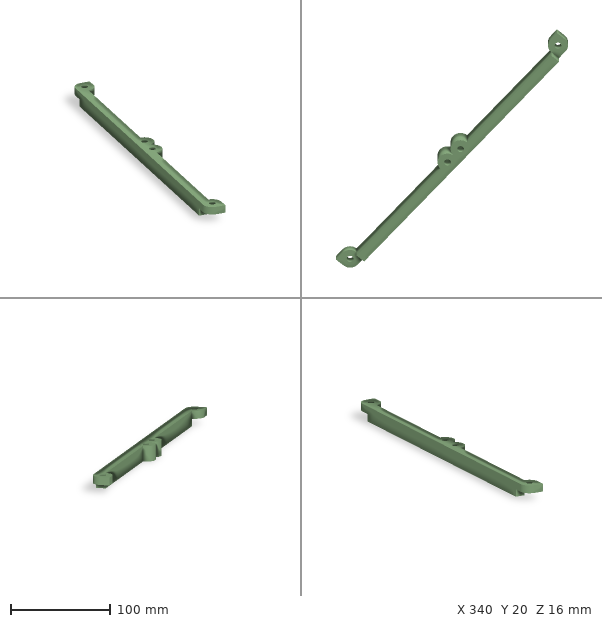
import cadquery as cq

length = 340.0
depth = 20.0
height = 16.0
tab_thickness = 8.0
hole_diameter = 6.8

lug_radius = depth / 2
end_lug_x = length / 2 - lug_radius
bar_length = length - 2 * depth
tab_bottom = height - tab_thickness


def block(size_x, size_y, size_z, center_x, center_y, bottom):
    """Box placed by its plan centre and the height of its bottom face."""
    box = cq.Workplane("XY").box(size_x, size_y, size_z, centered=(True, True, False))
    return box.translate((center_x, center_y, bottom))


def lug(center_x, bottom):
    """Round lug reaching from the given level up to the top face."""
    plane = cq.Workplane("XY", origin=(center_x, 0, bottom))
    return plane.circle(lug_radius).extrude(height - bottom)


def end_tab(side):
    """Thin end lug with a square outer back corner."""
    corner_x = side * (length - lug_radius) / 2
    corner = block(lug_radius, lug_radius, tab_thickness, corner_x, lug_radius / 2, tab_bottom)
    return lug(side * end_lug_x, tab_bottom).union(corner)


bar = block(bar_length, lug_radius, height, 0, -lug_radius / 2, 0)
top_strip = block(2 * end_lug_x, lug_radius, tab_thickness, 0, -lug_radius / 2, tab_bottom)
result = bar.union(top_strip)

for side in (-1, 1):
    result = result.union(lug(side * lug_radius, 0))
    result = result.union(end_tab(side))

hole_centers = [(x, 0) for x in (-end_lug_x, -lug_radius, lug_radius, end_lug_x)]
holes = cq.Workplane("XY").pushPoints(hole_centers).circle(hole_diameter / 2).extrude(height)
result = result.cut(holes)